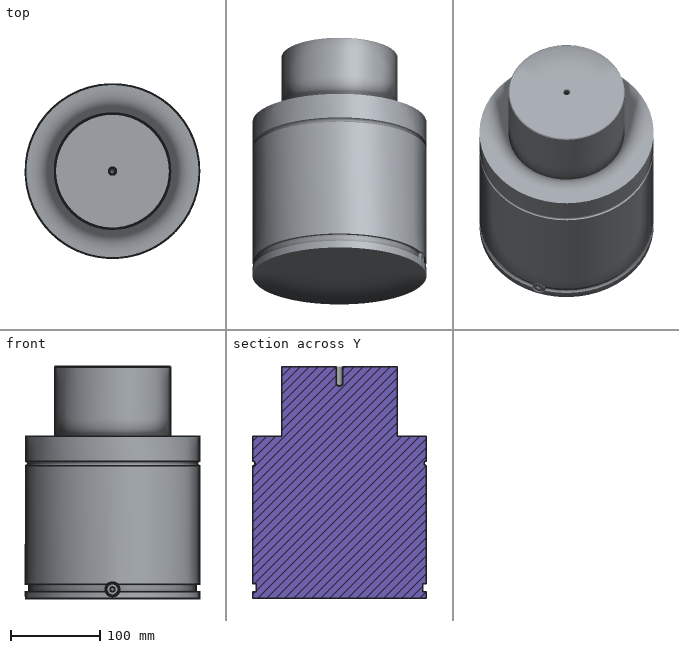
import cadquery as cq
import math

body_diameter = 195.0
body_height = 182.0
body_radius = body_diameter / 2

rod_diameter = 130.0
total_height = 260.0
rod_chamfer = 1.0

base_groove_bottom = 8.0
base_groove_top = 16.5
base_groove_depth = 3.75

head_groove_radius = 2.5
head_groove_height = 151.5

rod_hole_diameter = 6.8
rod_hole_depth = 20.0
rod_hole_mouth_diameter = 8.5
drill_point_angle = 118.0
countersink_angle = 90.0

port_height = 10.5
pocket_diameter = 16.0
pocket_floor_radius = 93.0
plug_diameter = 14.0
plug_face_radius = 97.0
plug_chamfer = 0.5
socket_width = 5.0
socket_depth = 3.0


def cone_height(diameter, included_angle):
    """Height of a cone with the given base diameter and included angle."""
    return diameter / 2 / math.tan(math.radians(included_angle / 2))


def make_body():
    """Cylinder body with its two circumferential grooves."""
    body = cq.Workplane("XY").circle(body_radius).extrude(body_height)
    base_groove = (
        cq.Workplane("XY")
        .workplane(offset=base_groove_bottom)
        .circle(body_radius + base_groove_depth)
        .circle(body_radius - base_groove_depth)
        .extrude(base_groove_top - base_groove_bottom)
    )
    head_groove = (
        cq.Workplane("XZ")
        .center(body_radius, head_groove_height)
        .circle(head_groove_radius)
        .revolve(360, (-body_radius, 0, 0), (-body_radius, 1, 0))
    )
    return body.cut(base_groove).cut(head_groove)


def make_rod():
    """Piston rod with a chamfered end."""
    return (
        cq.Workplane("XY")
        .workplane(offset=body_height)
        .circle(rod_diameter / 2)
        .extrude(total_height - body_height)
        .faces(">Z")
        .edges()
        .chamfer(rod_chamfer)
    )


def make_rod_hole():
    """Countersunk blind hole with a drill point, as a cutting solid."""
    hole_radius = rod_hole_diameter / 2
    mouth_radius = rod_hole_mouth_diameter / 2
    countersink_depth = cone_height(rod_hole_mouth_diameter - rod_hole_diameter, countersink_angle)
    shoulder_height = total_height - rod_hole_depth
    tip_height = shoulder_height - cone_height(rod_hole_diameter, drill_point_angle)
    return (
        cq.Workplane("XZ")
        .moveTo(0, tip_height)
        .lineTo(hole_radius, shoulder_height)
        .lineTo(hole_radius, total_height - countersink_depth)
        .lineTo(mouth_radius, total_height)
        .lineTo(0, total_height)
        .close()
        .revolve(360, (0, 0, 0), (0, 1, 0))
    )


def port_plane(distance):
    """Workplane facing -Y on the port axis, at a distance from the body axis."""
    return cq.Workplane("XZ").workplane(offset=distance).center(0, port_height)


def add_port(body):
    """Cut the round port pocket and set the chamfered socket plug inside it."""
    pocket_depth = body_radius - pocket_floor_radius
    plug_height = plug_face_radius - pocket_floor_radius
    pocket = port_plane(pocket_floor_radius).circle(pocket_diameter / 2).extrude(pocket_depth)
    plug = (
        port_plane(pocket_floor_radius)
        .circle(plug_diameter / 2)
        .extrude(plug_height)
        .faces("<Y")
        .edges()
        .chamfer(plug_chamfer)
    )
    socket_corner_diameter = socket_width / math.cos(math.radians(30))
    socket = (
        port_plane(plug_face_radius - socket_depth)
        .transformed(rotate=(0, 0, 90))
        .polygon(6, socket_corner_diameter)
        .extrude(socket_depth)
    )
    return body.cut(pocket).union(plug).cut(socket)


result = add_port(make_body()).union(make_rod()).cut(make_rod_hole())